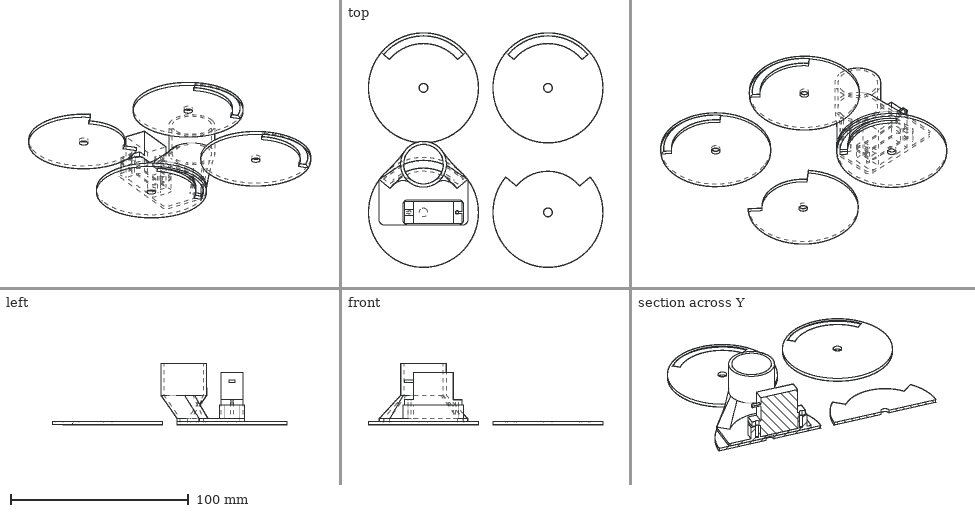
import cadquery as cq
import math

DISC_DIAMETER = 62.0
DISC_RADIUS = DISC_DIAMETER / 2
DISC_THICKNESS = 2.0
DISC_PITCH = 70.0
SHAFT_HOLE_DIAMETER = 4.8

TUBE_OUTER_DIAMETER = 25.8
TUBE_INNER_DIAMETER = 22.2
WALL = (TUBE_OUTER_DIAMETER - TUBE_INNER_DIAMETER) / 2
TUBE_LENGTH = 18.0

SLOT_INNER_RADIUS = 25.0
SLOT_OUTER_RADIUS = DISC_RADIUS - WALL
SLOT_START_ANGLE = 40.0
FLARE_WIDTH = DISC_THICKNESS
TUBE_Y = (SLOT_INNER_RADIUS + SLOT_OUTER_RADIUS) / 2
FOOT_INNER_RADIUS = SLOT_INNER_RADIUS - WALL

PLATE_THICKNESS = 1.6
PLATE_WIDTH = 50.0
CORNER_RADIUS = 3.0
PLATE_BOTTOM = DISC_THICKNESS
PLATE_TOP = PLATE_BOTTOM + PLATE_THICKNESS

FUNNEL_HEIGHT = 13.0
FUNNEL_TOP = PLATE_TOP + FUNNEL_HEIGHT
OUTER_CORNER_ANGLE = 2.0
INNER_CORNER_ANGLE = 28.0

SERVO_X = 5.5
CASE_LENGTH = 22.5
CASE_WIDTH = 12.4
CASE_TOP = 29.6
EAR_SPAN = 32.4
EAR_THICKNESS = 3.0
EAR_HOLE_DIAMETER = 1.95
EAR_HOLE_SPACING = 26.8
EAR_SLIT_WIDTH = 1.0
CABLE_WIDTH = 3.4
CABLE_THICKNESS = 1.4
CABLE_BOTTOM = 23.9

SOCKET_MARGIN = 0.9
SOCKET_LENGTH = EAR_SPAN + 2 * SOCKET_MARGIN
SOCKET_WIDTH = CASE_WIDTH + 2 * SOCKET_MARGIN
SOCKET_TOP = 11.2
PILOT_HOLE_DIAMETER = 1.6
EAR_HOLE_XS = [SERVO_X - EAR_HOLE_SPACING / 2, SERVO_X + EAR_HOLE_SPACING / 2]
PLATE_FRONT = -SOCKET_WIDTH / 2


def level(z):
    """Horizontal workplane at height z."""
    return cq.Workplane("XY", origin=(0, 0, z))


def box(x_range, y_range, z_range):
    """Box between the given limits."""
    sizes = [high - low for low, high in (x_range, y_range, z_range)]
    corner = (x_range[0], y_range[0], z_range[0])
    return cq.Workplane("XY").box(*sizes, centered=False).translate(corner)


def centred(middle, length):
    """Limits of a length centred on middle."""
    return (middle - length / 2, middle + length / 2)


def polar(radius, degrees, centre_y=0.0):
    angle = math.radians(degrees)
    return (radius * math.cos(angle), centre_y + radius * math.sin(angle))


def mirrored(point):
    """The point reflected in the YZ plane."""
    return (-point[0], point[1])


def arc_slot(plane, inner_radius, outer_radius, end_wall=0.0):
    """Outline of the slot; end_wall moves its straight ends outward, parallel to themselves."""
    outer_end = polar(outer_radius, SLOT_START_ANGLE - math.degrees(math.asin(end_wall / outer_radius)))
    inner_end = polar(inner_radius, SLOT_START_ANGLE - math.degrees(math.asin(end_wall / inner_radius)))
    return (
        plane.moveTo(*outer_end)
        .threePointArc((0, outer_radius), mirrored(outer_end))
        .lineTo(*mirrored(inner_end))
        .threePointArc((0, inner_radius), inner_end)
        .close()
    )


def plain_disc():
    return cq.Workplane("XY").circle(DISC_RADIUS).circle(SHAFT_HOLE_DIAMETER / 2).extrude(DISC_THICKNESS)


def slotted_disc():
    slot = arc_slot(level(0), SLOT_INNER_RADIUS, SLOT_OUTER_RADIUS)
    return plain_disc().cut(slot.extrude(DISC_THICKNESS))


def undercut_disc():
    """Slotted disc whose outer slot wall flares outward towards the lower face."""
    flare = (
        cq.Workplane("XZ")
        .moveTo(SLOT_OUTER_RADIUS, 0)
        .lineTo(SLOT_OUTER_RADIUS + FLARE_WIDTH, 0)
        .lineTo(SLOT_OUTER_RADIUS, DISC_THICKNESS)
        .close()
        .revolve(180 - 2 * SLOT_START_ANGLE, (0, 0, 0), (0, 1, 0))
        .rotate((0, 0, 0), (0, 0, 1), SLOT_START_ANGLE)
    )
    return slotted_disc().cut(flare)


def notched_disc():
    notch = arc_slot(level(0), FOOT_INNER_RADIUS, DISC_RADIUS + WALL)
    return plain_disc().cut(notch.extrude(DISC_THICKNESS))


def tube_circle(plane, radius):
    """Tube circle split into four arcs that pair with the four edges of the arc slot."""
    outer_corner = polar(radius, -OUTER_CORNER_ANGLE, TUBE_Y)
    inner_corner = polar(radius, -INNER_CORNER_ANGLE, TUBE_Y)
    end_middle = polar(radius, -(OUTER_CORNER_ANGLE + INNER_CORNER_ANGLE) / 2, TUBE_Y)
    return (
        plane.moveTo(*outer_corner)
        .threePointArc((0, TUBE_Y + radius), mirrored(outer_corner))
        .threePointArc(mirrored(end_middle), mirrored(inner_corner))
        .threePointArc((0, TUBE_Y - radius), inner_corner)
        .threePointArc(end_middle, outer_corner)
        .close()
    )


def hopper_shape(inner_radius, outer_radius, end_wall, tube_diameter):
    """Solid foot, funnel and tube inside one skin of the hopper."""
    foot = arc_slot(level(PLATE_BOTTOM), inner_radius, outer_radius, end_wall).extrude(PLATE_THICKNESS)
    mouth = arc_slot(level(PLATE_TOP), inner_radius, outer_radius, end_wall).wire().val()
    rim = tube_circle(level(FUNNEL_TOP), tube_diameter / 2).wire().val()
    funnel = cq.Workplane(cq.Solid.makeLoft([mouth, rim], True))
    tube = level(FUNNEL_TOP).center(0, TUBE_Y).circle(tube_diameter / 2).extrude(TUBE_LENGTH)
    return foot.union(funnel).union(tube)


def plate():
    blank = box(centred(0, PLATE_WIDTH), (PLATE_FRONT, DISC_RADIUS), (PLATE_BOTTOM, PLATE_TOP))
    blank = blank.edges("|Z and <Y").fillet(CORNER_RADIUS)
    disc_outline = level(PLATE_BOTTOM).circle(DISC_RADIUS).extrude(PLATE_THICKNESS)
    return blank.intersect(disc_outline)


def socket():
    block = box(centred(SERVO_X, SOCKET_LENGTH), centred(0, SOCKET_WIDTH), (PLATE_TOP, SOCKET_TOP))
    return block.edges("|Z").fillet(CORNER_RADIUS)


def hopper():
    skin = hopper_shape(FOOT_INNER_RADIUS, DISC_RADIUS, WALL, TUBE_OUTER_DIAMETER)
    hollow = hopper_shape(SLOT_INNER_RADIUS, SLOT_OUTER_RADIUS, 0.0, TUBE_INNER_DIAMETER)
    servo_pocket = box(centred(SERVO_X, CASE_LENGTH), centred(0, CASE_WIDTH), (PLATE_TOP, SOCKET_TOP))
    body = plate().union(socket()).union(skin).cut(hollow).cut(servo_pocket)
    for x in EAR_HOLE_XS:
        pilot = level(PLATE_TOP).center(x, 0).circle(PILOT_HOLE_DIAMETER / 2).extrude(SOCKET_TOP - PLATE_TOP)
        body = body.cut(pilot)
    return body


def servo():
    ear_range = (SOCKET_TOP, SOCKET_TOP + EAR_THICKNESS)
    ear_left, ear_right = centred(SERVO_X, EAR_SPAN)
    case = box(centred(SERVO_X, CASE_LENGTH), centred(0, CASE_WIDTH), (PLATE_TOP, CASE_TOP))
    ears = box((ear_left, ear_right), centred(0, CASE_WIDTH), ear_range)
    cable_z = (CABLE_BOTTOM, CABLE_BOTTOM + CABLE_THICKNESS)
    cable = box((ear_left, SERVO_X), centred(0, CABLE_WIDTH), cable_z)
    body = case.union(ears).union(cable)
    for hole_x, ear_end in zip(EAR_HOLE_XS, (ear_left, ear_right)):
        hole = level(SOCKET_TOP).center(hole_x, 0).circle(EAR_HOLE_DIAMETER / 2).extrude(EAR_THICKNESS)
        slit = box(sorted((hole_x, ear_end)), centred(0, EAR_SLIT_WIDTH), ear_range)
        body = body.cut(hole).cut(slit)
    return body


base_disc = slotted_disc()
UNDERCUT_DISC_XS = [0, DISC_PITCH]
undercut_discs = [undercut_disc().translate((x, DISC_PITCH, 0)).val() for x in UNDERCUT_DISC_XS]
notched = notched_disc().translate((DISC_PITCH, 0, 0))

result = cq.Compound.makeCompound(
    [base_disc.val(), *undercut_discs, notched.val(), hopper().val(), servo().val()]
)